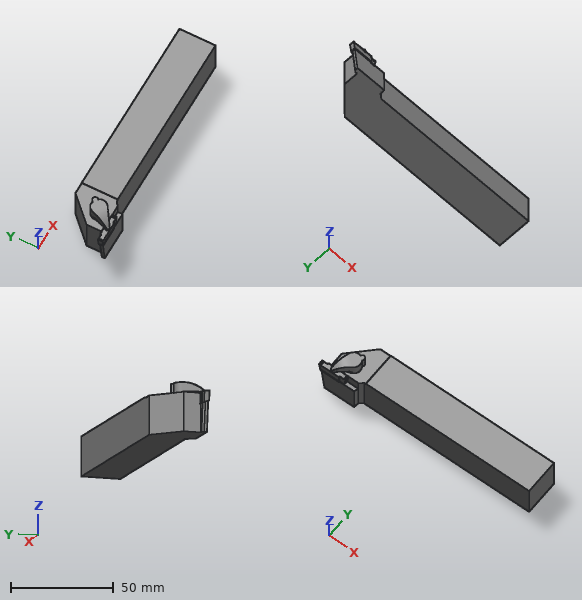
import cadquery as cq
import math


total_length = 125.0
total_width = 25.0
shank_size = 20.0
shank_front = total_width - shank_size
shank_start = 24.9
head_height = 19.6
head_left = 5.1
head_chamfer_top = 18.5
head_chamfer_bottom = 11.6
head_front = 3.2
head_bevel_end = 23.9

blade_front = 0.4
blade_back = 2.9
blade_bevel = 1.0
blade_top_left = 1.1
blade_bottom_left = 3.0
blade_front_right = 21.2
blade_back_right = 21.6
seat_front_height = 15.2
seat_back_height = 14.1

insert_top = shank_size
insert_length = 15.8
insert_width = head_front
cutting_width = 2.6
cutting_length = 3.5
waist_offset = 0.6
end_offset = insert_width - cutting_width
end_relief = 0.8
groove_start = 0.8
groove_deepest = 1.0
groove_end = 2.8
groove_depth = 0.4

clamp_x = 13.9
clamp_y = 9.5
clamp_top = 25.5
boss_radius = 4.2
arm_angle = 233.0
chord_distance = 1.8
tip_distance = 10.4
tip_radius = 1.0
tip_height = 21.1
arm_underside = 20.8
foot_start = 8.8
lobe_distance = 4.4
lobe_radius = 1.5


def make_prism(points, bottom, top):
    """Vertical prism over a polygon given in X and Y."""
    return cq.Workplane("XY").workplane(offset=bottom).polyline(points).close().extrude(top - bottom)


def seat_space():
    """Everything above the seat, which falls towards the back."""
    profile = [
        (0, seat_front_height),
        (head_front, seat_back_height),
        (head_front, insert_top),
        (0, insert_top),
    ]
    return cq.Workplane("YZ").polyline(profile).close().extrude(total_length)


def blade_outline(left):
    """Plan of the blade at one level, with its rear left corner bevelled."""
    return [
        (left, blade_front),
        (blade_front_right, blade_front),
        (blade_back_right, head_front),
        (head_left, head_front),
        (head_left, blade_back),
        (left + blade_bevel, blade_back),
        (left, blade_back - blade_bevel),
    ]


def make_blade():
    blade = (
        cq.Workplane("XY")
        .polyline(blade_outline(blade_bottom_left)).close()
        .workplane(offset=seat_front_height)
        .polyline(blade_outline(blade_top_left)).close()
        .loft(ruled=True)
    )
    return blade.cut(seat_space())


def make_holder():
    shank = make_prism(
        [
            (shank_start, shank_front),
            (total_length, shank_front),
            (total_length, total_width),
            (shank_start, total_width),
        ],
        0,
        shank_size,
    )
    head = make_prism(
        [
            (head_left, head_front),
            (blade_back_right, head_front),
            (head_bevel_end, shank_front),
            (shank_start, shank_front),
            (shank_start, total_width),
            (head_chamfer_top, total_width),
            (head_left, head_chamfer_bottom),
        ],
        0,
        head_height,
    )
    return shank.union(head).union(make_blade())


def half_turn(body):
    """Turn a body end for end about the middle of the insert."""
    middle = (insert_length / 2, insert_width / 2)
    return body.rotate((*middle, 0), (*middle, 1), 180)


def make_insert():
    half_outline = [
        (0, 0),
        (insert_length - cutting_length, 0),
        (insert_length - cutting_length, waist_offset),
        (insert_length, end_offset),
    ]
    other_half = [(insert_length - x, insert_width - y) for x, y in half_outline]
    body = make_prism(half_outline + other_half, seat_back_height, insert_top)
    body = body.intersect(seat_space())

    relief_per_height = end_relief / (insert_top - seat_front_height)
    bottom_relief = relief_per_height * (insert_top - seat_back_height)
    side_profile = [
        (0, insert_top),
        (insert_length, insert_top),
        (insert_length - bottom_relief, seat_back_height),
        (bottom_relief, seat_back_height),
    ]
    side_envelope = cq.Workplane("XZ").polyline(side_profile).close().extrude(-insert_width)
    body = body.intersect(side_envelope)

    groove_profile = [
        (groove_start, insert_top),
        (groove_deepest, insert_top - groove_depth),
        (groove_end, insert_top),
    ]
    groove = cq.Workplane("XZ").polyline(groove_profile).close().extrude(-insert_width)
    return body.cut(groove).cut(half_turn(groove))


def make_arm():
    """Arm along local +X from the boss centre, with a curved back and a foot."""
    half_chord = math.sqrt(boss_radius**2 - chord_distance**2)
    arm_end = tip_distance + tip_radius

    dx = tip_distance - chord_distance
    tangent_angle = math.atan2(half_chord, dx) + math.acos(tip_radius / math.hypot(dx, half_chord))
    tangent_angle = math.pi - tangent_angle
    tangent_x = tip_distance + tip_radius * math.cos(tangent_angle)
    tangent_y = tip_radius * math.sin(tangent_angle)
    plan = (
        cq.Workplane("XY").workplane(offset=insert_top)
        .moveTo(chord_distance, -half_chord)
        .lineTo(tangent_x, -tangent_y)
        .threePointArc((arm_end, 0), (tangent_x, tangent_y))
        .lineTo(chord_distance, half_chord)
        .close()
        .extrude(clamp_top - insert_top)
    )

    run = arm_end - chord_distance
    drop = clamp_top - tip_height
    back_radius = (run**2 + drop**2) / (2 * drop)
    half_sweep = math.asin(run / back_radius) / 2
    back_middle = (
        chord_distance + back_radius * math.sin(half_sweep),
        clamp_top - back_radius * (1 - math.cos(half_sweep)),
    )
    side = (
        cq.Workplane("XZ")
        .moveTo(chord_distance, clamp_top)
        .threePointArc(back_middle, (arm_end, tip_height))
        .lineTo(arm_end, insert_top)
        .lineTo(foot_start, insert_top)
        .lineTo(foot_start, arm_underside)
        .lineTo(chord_distance, arm_underside)
        .close()
        .extrude(boss_radius, both=True)
    )
    return plan.intersect(side)


def make_clamp():
    boss_height = clamp_top - head_height
    base = cq.Workplane("XY").workplane(offset=head_height)
    boss = base.circle(boss_radius).extrude(boss_height)

    beyond_chord = (
        cq.Workplane("XY").workplane(offset=arm_underside)
        .center(chord_distance + boss_radius / 2, 0)
        .rect(boss_radius, 2 * boss_radius)
        .extrude(clamp_top - arm_underside)
    )
    lobe = base.center(-lobe_distance, 0).circle(lobe_radius).extrude(boss_height)
    clamp = boss.cut(beyond_chord).union(lobe).union(make_arm())
    return clamp.rotate((0, 0, 0), (0, 0, 1), arm_angle).translate((clamp_x, clamp_y, 0))


holder = make_holder()
insert = make_insert()
clamp = make_clamp()

result = cq.Compound.makeCompound([body.solids().val() for body in (holder, insert, clamp)])